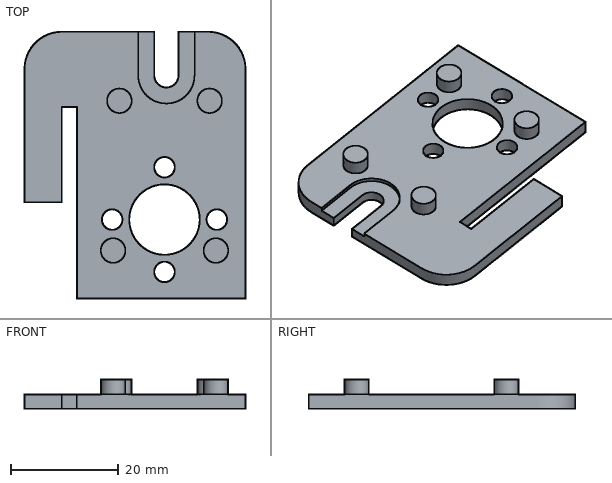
import cadquery as cq

width = 41.3
length = 49.85
total_height = 5.5
plate_thickness = 2.7
corner_radius = 7.05

arm_width = 7.05
arm_end_y = 17.95
gap_width = 2.8
gap_top_y = 35.75
body_left_x = arm_width + gap_width

slot_x = 26.5
slot_end_center_y = 41.65
slot_width = 4.5
recess_width = 10.5
recess_depth = 0.7

bore_x = 26.15
bore_y = 14.75
bore_diameter = 13.1
screw_hole_diameter = 3.8
screw_circle_radius = 9.75

pin_diameter = 4.6
lower_pin_y = 8.95
lower_pin_spacing = 19.2
upper_pin_y = 36.9
upper_pin_spacing = 16.85


def make_plate():
    outline = [
        (body_left_x, 0),
        (width, 0),
        (width, length),
        (0, length),
        (0, arm_end_y),
        (arm_width, arm_end_y),
        (arm_width, gap_top_y),
        (body_left_x, gap_top_y),
    ]
    plate = cq.Workplane("XY").polyline(outline).close().extrude(plate_thickness)
    return plate.edges("|Z and >Y").fillet(corner_radius)


def open_slot_cutter(cutter_width, depth):
    """Round-ended slot, open at the back edge, sunk from the top face."""
    radius = cutter_width / 2
    return (
        cq.Workplane("XY", origin=(slot_x, slot_end_center_y, plate_thickness))
        .moveTo(-radius, length - slot_end_center_y)
        .lineTo(-radius, 0)
        .threePointArc((0, -radius), (radius, 0))
        .lineTo(radius, length - slot_end_center_y)
        .close()
        .extrude(-depth)
    )


def bore_cutter():
    bore_plane = cq.Workplane("XY", origin=(bore_x, bore_y, 0))
    bore = bore_plane.circle(bore_diameter / 2).extrude(plate_thickness)
    screw_holes = (
        bore_plane.polarArray(screw_circle_radius, 0, 360, 4)
        .circle(screw_hole_diameter / 2)
        .extrude(plate_thickness)
    )
    return bore.union(screw_holes)


def make_pins():
    centers = [
        (bore_x + side * spacing / 2, y)
        for y, spacing in ((lower_pin_y, lower_pin_spacing), (upper_pin_y, upper_pin_spacing))
        for side in (-1, 1)
    ]
    return cq.Workplane("XY").pushPoints(centers).circle(pin_diameter / 2).extrude(total_height)


result = (
    make_plate()
    .cut(open_slot_cutter(recess_width, recess_depth))
    .cut(open_slot_cutter(slot_width, plate_thickness))
    .cut(bore_cutter())
    .union(make_pins())
)